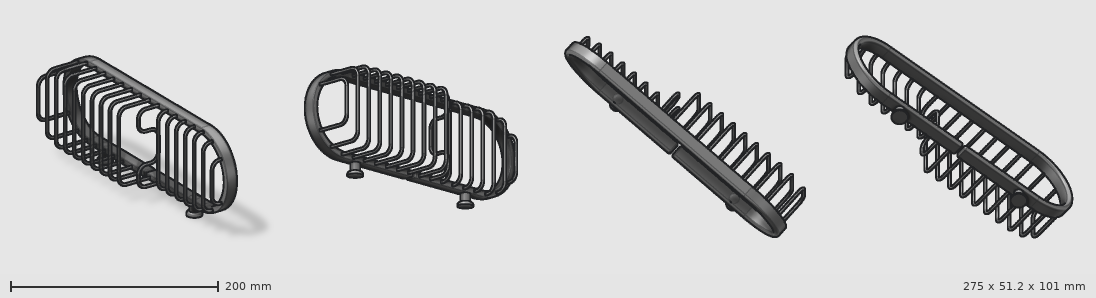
import cadquery as cq
import math

LENGTH = 275.0
BAND_HEIGHT = 88.3
BAND_DEPTH = 13.5
BAND_THICKNESS = 6.3
FRONT_EDGE_RADIUS = 0.5
GAP_WIDTH = 2.8
GAP_EDGE_RADIUS = 1.7
BACK_ROUNDING = 0.98

END_RADIUS = BAND_HEIGHT / 2
BACK_EDGE_RADIUS = BACK_ROUNDING * BAND_THICKNESS / 2
STRAIGHT_HALF = LENGTH / 2 - END_RADIUS

WIRE_TRACK_RADIUS = 41.3
WIRE_DIAMETER = 3.0
WIRE_COUNT = 18
WIRE_SPAN = 255.0
WIRE_PITCH = WIRE_SPAN / (WIRE_COUNT - 1)
BEND_RADIUS = 8.8
TOTAL_DEPTH = 51.2
LONG_REACH = TOTAL_DEPTH - WIRE_DIAMETER / 2
NOTCHED_REACH = 37.0
SHORT_REACH = 24.2
LONG_COUNT = 10
WIRE_ROOT = BAND_DEPTH / 2

NOTCH_HALF_HEIGHT = 17.5
NOTCH_BOTTOM = 13.5

FOOT_X = 74.8
FOOT_Y = -8.0
FOOT_DROP = 12.7
STEM_DIAMETER = 10.0
DOME_HEIGHT = 0.5
FLANGE_DIAMETER = 16.0
FLANGE_HEIGHT = 4.5
FLANGE_ROUND = 3.5


def band():
    """Racetrack band with a rounded back, open in the middle of the bottom run."""
    def slot(height):
        straight = 2 * STRAIGHT_HALF
        return cq.Workplane("XZ").slot2D(straight + height, height).extrude(BAND_DEPTH)

    body = slot(BAND_HEIGHT).cut(slot(BAND_HEIGHT - 2 * BAND_THICKNESS))
    body = body.faces(">Y").edges().fillet(BACK_EDGE_RADIUS)
    body = body.faces("<Y").edges().fillet(FRONT_EDGE_RADIUS)
    gap = cq.Workplane("XZ").rect(GAP_WIDTH, BAND_HEIGHT).extrude(BAND_DEPTH).translate((0, 0, -END_RADIUS))
    body = body.cut(gap)
    gap_faces = cq.selectors.BoxSelector((-GAP_WIDTH, -BAND_DEPTH, -END_RADIUS), (GAP_WIDTH, 0, 0))
    return body.faces(gap_faces).edges().fillet(GAP_EDGE_RADIUS)


def rod(corners, x):
    """Round wire through (y, z) corners at the given x, every inner right-angle corner bent."""
    middle_shift = BEND_RADIUS * (1 - math.sqrt(0.5))
    edges = []
    start = cq.Vector(x, *corners[0])
    for before, corner, after in zip(corners, corners[1:], corners[2:]):
        bend = cq.Vector(x, *corner)
        to_before = (cq.Vector(x, *before) - bend).normalized()
        to_after = (cq.Vector(x, *after) - bend).normalized()
        bend_start = bend + to_before * BEND_RADIUS
        bend_end = bend + to_after * BEND_RADIUS
        bend_middle = bend + (to_before + to_after) * middle_shift
        edges.append(cq.Edge.makeLine(start, bend_start))
        edges.append(cq.Edge.makeThreePointArc(bend_start, bend_middle, bend_end))
        start = bend_end
    edges.append(cq.Edge.makeLine(start, cq.Vector(x, *corners[-1])))
    path = cq.Workplane(obj=cq.Wire.assembleEdges(edges))
    section = cq.Workplane("XZ", origin=(x, corners[0][0], corners[0][1])).circle(WIRE_DIAMETER / 2)
    return section.sweep(path)


def track_height(x):
    """Height at which a wire at the given x meets the band."""
    past_straight = max(abs(x) - STRAIGHT_HALF, 0)
    return math.sqrt(WIRE_TRACK_RADIUS ** 2 - past_straight ** 2)


def bow(x, reach):
    """U-shaped bow from the top to the bottom of the band."""
    height = track_height(x)
    return rod([(-WIRE_ROOT, height), (-reach, height), (-reach, -height), (-WIRE_ROOT, -height)], x)


def notched_bow(x):
    """Bow whose front run steps back to the band around mid height."""
    upper = [
        (-WIRE_ROOT, track_height(x)),
        (-NOTCHED_REACH, track_height(x)),
        (-NOTCHED_REACH, NOTCH_HALF_HEIGHT),
        (-NOTCH_BOTTOM, NOTCH_HALF_HEIGHT),
    ]
    lower = [(y, -z) for y, z in reversed(upper)]
    return rod(upper + lower, x)


def foot(x):
    """Turned foot: round-topped flange, stem through the bottom run, domed tip inside the band."""
    bottom = -END_RADIUS - FOOT_DROP
    stem_radius = STEM_DIAMETER / 2
    stem_height = FOOT_DROP + BAND_THICKNESS
    dome_radius = (stem_radius ** 2 + DOME_HEIGHT ** 2) / (2 * DOME_HEIGHT)
    mid_angle = math.asin(stem_radius / dome_radius) / 2
    dome_middle = (
        dome_radius * math.sin(mid_angle),
        stem_height + DOME_HEIGHT - dome_radius * (1 - math.cos(mid_angle)),
    )

    base = cq.Workplane("XY", origin=(x, FOOT_Y, bottom))
    flange = base.circle(FLANGE_DIAMETER / 2).extrude(FLANGE_HEIGHT)
    flange = flange.faces(">Z").edges().fillet(FLANGE_ROUND)
    stem = (
        cq.Workplane("XZ", origin=(x, FOOT_Y, bottom))
        .lineTo(stem_radius, 0)
        .lineTo(stem_radius, stem_height)
        .threePointArc(dome_middle, (0, stem_height + DOME_HEIGHT))
        .close()
        .revolve(360, (0, 0, 0), (0, 1, 0))
    )
    return flange.union(stem)


result = band()
for index in range(WIRE_COUNT):
    wire_x = index * WIRE_PITCH - WIRE_SPAN / 2
    if index < LONG_COUNT:
        result = result.union(bow(wire_x, LONG_REACH))
    elif index == LONG_COUNT:
        result = result.union(notched_bow(wire_x))
    else:
        result = result.union(bow(wire_x, SHORT_REACH))
for side in (-1, 1):
    result = result.union(foot(side * FOOT_X))